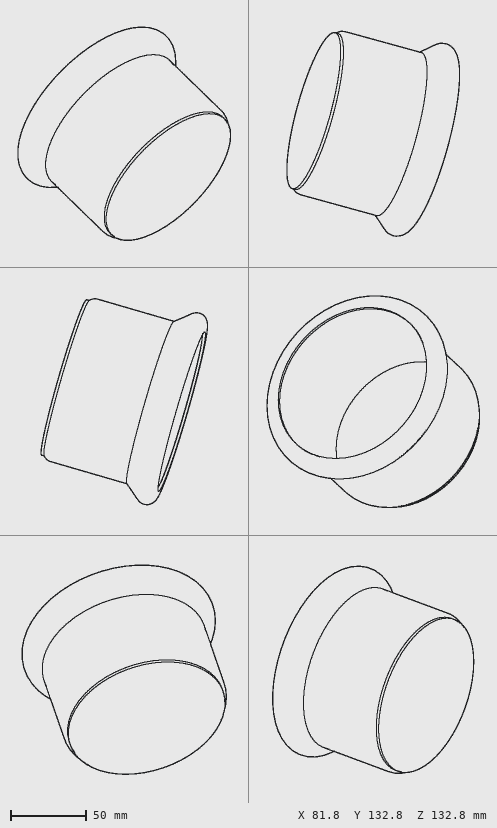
import cadquery as cq
import math

length = 81.8
rim_radius = 66.4
wall = 2.0
tube_radius = 112.8 / 2
spigot_radius = 108.0 / 2
lip_radius = 110.5 / 2
bead_radius = 7.0
flare_end = 21.6
tube_end = 75.0
spigot_start = length - wall

bead_x = bead_radius
bead_r = rim_radius - bead_radius
bead_inner = bead_radius - wall

bore_radius = tube_radius - wall
spigot_bore = spigot_radius - wall

run = flare_end - bead_x
drop = bead_r - tube_radius
tangent_angle = math.acos(bead_radius / math.hypot(run, drop)) - math.atan2(drop, run)

cone_slope = math.pi / 2 - tangent_angle
straight_down = -math.pi / 2

shoulder_drop = tube_radius - spigot_radius
shoulder_run = spigot_start - tube_end
shoulder_radius = (shoulder_run**2 + shoulder_drop**2) / (2 * shoulder_drop)
shoulder_inner = shoulder_radius - wall
shoulder_sweep = math.acos(1 - shoulder_drop / shoulder_radius)


def arc_point(x, r, radius, angle):
    """Point on an arc centred at axial position x and radial position r."""
    return (x + radius * math.cos(angle), r + radius * math.sin(angle))


def shoulder_arc_point(radius, fraction):
    """Point part of the way along a shoulder arc, starting at the tube."""
    center_r = tube_radius - shoulder_radius
    return arc_point(tube_end, center_r, radius, math.pi / 2 - fraction * shoulder_sweep)


middle_angle = (math.pi + tangent_angle) / 2

section = (
    cq.Workplane("XY")
    .moveTo(0, lip_radius)
    .lineTo(0, bead_r)
    .threePointArc(
        arc_point(bead_x, bead_r, bead_radius, middle_angle),
        arc_point(bead_x, bead_r, bead_radius, tangent_angle),
    )
    .lineTo(flare_end, tube_radius)
    .lineTo(tube_end, tube_radius)
    .threePointArc(
        shoulder_arc_point(shoulder_radius, 0.5),
        (spigot_start, spigot_radius),
    )
    .lineTo(length, spigot_radius)
    .lineTo(length, 0)
    .lineTo(spigot_start, 0)
    .lineTo(spigot_start, spigot_bore)
    .threePointArc(
        arc_point(spigot_start, spigot_radius, wall, straight_down - shoulder_sweep / 2),
        shoulder_arc_point(shoulder_inner, 1),
    )
    .threePointArc(
        shoulder_arc_point(shoulder_inner, 0.5),
        (tube_end, bore_radius),
    )
    .lineTo(flare_end, bore_radius)
    .threePointArc(
        arc_point(flare_end, tube_radius, wall, straight_down - cone_slope / 2),
        arc_point(flare_end, tube_radius, wall, straight_down - cone_slope),
    )
    .lineTo(*arc_point(bead_x, bead_r, bead_inner, tangent_angle))
    .threePointArc(
        arc_point(bead_x, bead_r, bead_inner, middle_angle),
        (wall, bead_r),
    )
    .lineTo(wall, lip_radius)
    .close()
)

result = section.revolve(360, (0, 0, 0), (1, 0, 0))